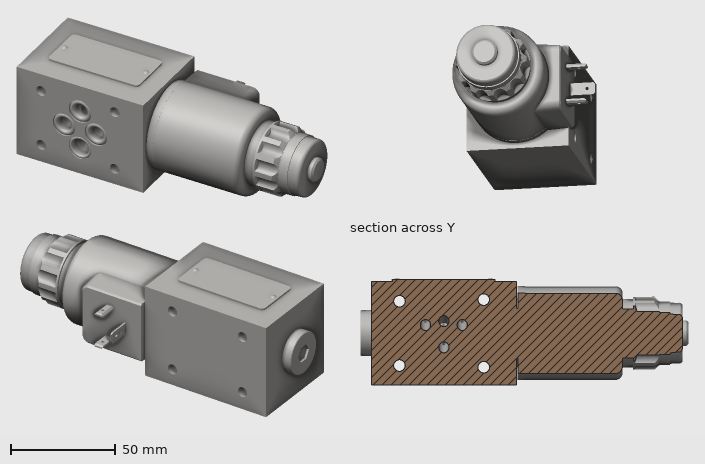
import cadquery as cq
import math


block_length = 69.8
block_side = 50.0
block_front = -block_side / 2
block_top = block_side / 2

mount_hole_dia = 5.4
mount_left_x = 13.5
mount_left_z = 15.5
mount_right_x = 54.0
mount_right_z = 16.2
port_x = block_length / 2
side_port_offset = 8.8
main_port_offset = 10.4
port_recess_dia = 12.3
side_bore_dia = 7.2
pressure_bore_dia = 7.0
tank_bore_dia = 9.0
seal_setback = 0.2
port_bore_depth = 4.7
feed_dia = 4.7
feed_length = 18.9
feed_tilt = 20
side_feed_offset = 0.8
pressure_feed_offset = 1.3
tank_feed_offset = 0.5

plug_dia = 22.0
plug_length = 5.0
plug_chamfer = 0.3
hex_across_flats = 8.0
hex_depth = 1.3

plate_margin = 10.0
plate_length = block_length - 2 * plate_margin
plate_width = 25.0
plate_thickness = 1.0
plate_corner = 2.0
rivet_dia = 3.0
rivet_height = 0.6
rivet_spacing = 44.9

coil_gap = 0.5
coil_start = block_length + coil_gap
spigot_dia = 33.1
collar_dia = 45.0
collar_length = 3.8
coil_dia = 44.9
coil_end = 120.9
coil_round = 3.3
neck_dia = 33.0
nut_start = 125.8
nut_end = 138.5
nut_dia = 35.0
nut_chamfer_length = 2.2
cap_dia = 30.5
cap_step_x = 143.5
cap_end_dia = 29.6
cap_round_dia = 29.2
cap_round_x = 147.7
cap_end = 149.7
cap_face_dia = 26.8
button_dia = 12.3
button_chamfer = 1.0
total_length = 157.6
button_end = total_length - plug_length

grip_count = 12
grip_radius = 3.8
grip_depth = 2.0
grip_floor = nut_dia / 2 - grip_depth
grip_lip = 1.0
grip_run_out = 1.1

base_end = 104.6
base_top = 27.9
base_width = 32.2
base_draft = 4
base_corner = 4.0
base_edge = 0.8
base_root = 7.9

blade_x = 79.5
blade_thickness = 1.0
blade_width = 6.0
blade_tip = 40.0
tip_bevel = 1.0
blade_hole_y = 36.1
dimple_y = 32.8
dimple_dia = 2.5
dimple_depth = 0.5
terminal_hole_dia = 1.5
pin_x = 88.4
pin_z = 7.9
pin_width = 4.7
pin_flat = 2.8
pin_thickness = 1.9
pin_tip = 37.7
pin_outer_bevel = 0.5
pin_inner_bevel = 0.6
pin_hole_y = 33.7


def turned(outline):
    """Turn an (x, radius) outline about the X axis."""
    return outline.close().revolve(360, (0, 0, 0), (1, 0, 0))


def make_block():
    block = cq.Workplane("XY").box(block_length, block_side, block_side, centered=(False, True, True))
    spots = [(mount_left_x, s * mount_left_z) for s in (1, -1)]
    spots += [(mount_right_x, s * mount_right_z) for s in (1, -1)]
    holes = (
        cq.Workplane("XZ", origin=(0, block_side / 2, 0))
        .pushPoints(spots)
        .circle(mount_hole_dia / 2)
        .extrude(block_side)
    )
    return block.cut(holes)


def port_cutter(x, z, bore_dia, feed_offset, tilt):
    """Space around a port's seal ring, its bore with a 90 degree drill point, and a feed hole.

    The feed hole starts feed_offset above the port's centre and is tilted towards +Z.
    """
    recess = port_recess_dia / 2
    bore = bore_dia / 2
    ring = (recess - bore) / 2
    ring_y = block_front + seal_setback + ring
    bore_y = block_front + port_bore_depth
    cavity = (
        cq.Workplane("XY")
        .moveTo(0, block_front)
        .lineTo(recess, block_front)
        .lineTo(recess, ring_y)
        .threePointArc((recess - ring, ring_y - ring), (bore, ring_y))
        .lineTo(bore, bore_y)
        .lineTo(0, bore_y + bore)
        .close()
        .revolve(360, (0, 0, 0), (0, 1, 0))
        .translate((x, 0, z))
    )
    direction = cq.Vector(0, math.cos(math.radians(tilt)), math.sin(math.radians(tilt)))
    feed = cq.Solid.makeCylinder(feed_dia / 2, feed_length, cq.Vector(x, bore_y, z + feed_offset), direction)
    return cavity.union(cq.Workplane(feed))


def make_plug():
    plug = (
        cq.Workplane("YZ", origin=(-plug_length, 0, 0))
        .circle(plug_dia / 2)
        .extrude(plug_length)
        .faces("<X")
        .chamfer(plug_chamfer)
    )
    socket = (
        cq.Workplane("YZ", origin=(-plug_length, 0, 0))
        .polygon(6, hex_across_flats / math.cos(math.pi / 6))
        .extrude(hex_depth)
    )
    return plug.cut(socket)


def make_nameplate():
    plate = (
        cq.Workplane("XY", origin=(block_length / 2, 0, block_top))
        .rect(plate_length, plate_width)
        .extrude(plate_thickness)
        .edges("|Z")
        .fillet(plate_corner)
    )
    sphere_radius = ((rivet_dia / 2) ** 2 + rivet_height**2) / (2 * rivet_height)
    plate_top = block_top + plate_thickness
    for side in (1, -1):
        head = (
            cq.Workplane("XZ")
            .lineTo(rivet_dia / 2, 0)
            .radiusArc((0, rivet_height), -sphere_radius)
            .close()
            .revolve(360, (0, 0, 0), (0, 1, 0))
            .translate((block_length / 2 + side * rivet_spacing / 2, 0, plate_top))
        )
        plate = plate.union(head)
    return plate


def make_solenoid_body():
    coil_r = coil_dia / 2
    diagonal = math.cos(math.pi / 4)
    round_length = cap_end - cap_round_x
    round_height = (cap_round_dia - cap_face_dia) / 2
    return turned(
        cq.Workplane("XY")
        .moveTo(block_length, 0)
        .lineTo(block_length, spigot_dia / 2)
        .lineTo(coil_start, spigot_dia / 2)
        .lineTo(coil_start, collar_dia / 2)
        .lineTo(coil_start + collar_length, collar_dia / 2)
        .lineTo(coil_start + collar_length, coil_r)
        .lineTo(coil_end - coil_round, coil_r)
        .radiusArc((coil_end, coil_r - coil_round), coil_round)
        .lineTo(coil_end, neck_dia / 2)
        .lineTo(nut_start, neck_dia / 2)
        .lineTo(nut_start, grip_floor)
        .lineTo(nut_end, grip_floor)
        .lineTo(nut_end, cap_dia / 2)
        .lineTo(cap_step_x, cap_dia / 2)
        .lineTo(cap_step_x, cap_end_dia / 2)
        .lineTo(cap_round_x, cap_round_dia / 2)
        .threePointArc(
            (cap_round_x + round_length * diagonal, cap_round_dia / 2 - round_height * (1 - diagonal)),
            (cap_end, cap_face_dia / 2),
        )
        .lineTo(cap_end, button_dia / 2)
        .lineTo(button_end - button_chamfer, button_dia / 2)
        .lineTo(button_end, button_dia / 2 - button_chamfer)
        .lineTo(button_end, 0)
    )


def make_nut():
    nut_r = nut_dia / 2
    nut = turned(
        cq.Workplane("XY")
        .moveTo(nut_start, 0)
        .lineTo(nut_start, nut_r)
        .lineTo(nut_end - nut_chamfer_length, nut_r)
        .lineTo(nut_end, cap_dia / 2)
        .lineTo(nut_end, 0)
    )
    groove_start = nut_start + grip_lip
    groove = (
        cq.Workplane("YZ", origin=(groove_start, 0, 0))
        .center(grip_floor + grip_radius, 0)
        .circle(grip_radius)
        .extrude(nut_end - groove_start)
    )
    slope = (
        cq.Workplane("XY")
        .moveTo(groove_start, grip_floor)
        .lineTo(groove_start + grip_run_out, grip_floor)
        .lineTo(groove_start, nut_r)
        .close()
        .extrude(grip_radius, both=True)
    )
    groove = groove.cut(slope)
    pitch = 360 / grip_count
    for i in range(grip_count):
        nut = nut.cut(groove.rotate((0, 0, 0), (1, 0, 0), (i + 0.5) * pitch))
    return nut


def make_connector_base():
    """Drafted box, widening towards the coil, with a straight end beside the block."""
    height = base_top - base_root
    spread = height * math.tan(math.radians(base_draft))
    half_length = base_end - coil_start + spread
    half_width = base_width / 2 + spread
    box = (
        cq.Workplane("XZ", origin=(coil_start, base_root, 0))
        .rect(2 * half_length, 2 * half_width)
        .extrude(-height, taper=base_draft)
        .edges("not #Y")
        .fillet(base_corner)
        .faces(">Y")
        .chamfer(base_edge)
    )
    right_half = (
        cq.Workplane("YZ", origin=(coil_start, base_root, 0))
        .rect(2 * height, 2 * half_width)
        .extrude(half_length)
    )
    return box.intersect(right_half)


def make_blade():
    """Flat terminal across the X axis with a bevelled tip, a hole and a conical dimple."""
    half = blade_width / 2
    shoulder = blade_tip - tip_bevel
    left = blade_x - blade_thickness / 2
    blade = (
        cq.Workplane("YZ", origin=(left, 0, 0))
        .moveTo(base_root, -half)
        .lineTo(shoulder, -half)
        .lineTo(blade_tip, tip_bevel - half)
        .lineTo(blade_tip, half - tip_bevel)
        .lineTo(shoulder, half)
        .lineTo(base_root, half)
        .close()
        .extrude(blade_thickness)
    )
    bevel = (
        cq.Workplane("XY")
        .moveTo(left, shoulder)
        .lineTo(blade_x, blade_tip)
        .lineTo(left, blade_tip)
        .close()
        .extrude(half, both=True)
    )
    hole = (
        cq.Workplane("YZ", origin=(left, 0, 0))
        .center(blade_hole_y, 0)
        .circle(terminal_hole_dia / 2)
        .extrude(blade_thickness)
    )
    dimple = cq.Solid.makeCone(
        dimple_dia / 2, 0, dimple_depth, cq.Vector(left, dimple_y, 0), cq.Vector(1, 0, 0)
    )
    return blade.cut(bevel).cut(hole).cut(cq.Workplane(dimple))


def make_pin():
    """Upper flat pin: bevelled along the long edges of its outer face and at its tip."""
    half = pin_width / 2
    mid = pin_thickness / 2
    pin = (
        cq.Workplane("XZ", origin=(pin_x, pin_tip, pin_z))
        .moveTo(-half, 0)
        .lineTo(half, 0)
        .lineTo(half, mid)
        .lineTo(pin_flat / 2, pin_thickness)
        .lineTo(-pin_flat / 2, pin_thickness)
        .lineTo(-half, mid)
        .close()
        .extrude(pin_tip - base_root)
    )
    bevels = (
        cq.Workplane("YZ", origin=(pin_x, pin_tip, pin_z))
        .moveTo(0, pin_thickness - pin_outer_bevel)
        .lineTo(0, pin_thickness)
        .lineTo(-tip_bevel, pin_thickness)
        .close()
        .moveTo(0, pin_inner_bevel)
        .lineTo(0, 0)
        .lineTo(-tip_bevel, 0)
        .close()
        .extrude(half, both=True)
    )
    hole = (
        cq.Workplane("XY", origin=(pin_x, pin_hole_y, pin_z))
        .circle(terminal_hole_dia / 2)
        .extrude(pin_thickness)
    )
    return pin.cut(bevels).cut(hole)


block = make_block()
ports = (
    (port_x - side_port_offset, 0, side_bore_dia, side_feed_offset, feed_tilt),
    (port_x + side_port_offset, 0, side_bore_dia, side_feed_offset, feed_tilt),
    (port_x, main_port_offset, pressure_bore_dia, -pressure_feed_offset, -feed_tilt),
    (port_x, -main_port_offset, tank_bore_dia, tank_feed_offset, feed_tilt),
)
for port in ports:
    block = block.cut(port_cutter(*port))

pin = make_pin()
result = (
    block.union(make_plug())
    .union(make_nameplate())
    .union(make_solenoid_body())
    .union(make_nut())
    .union(make_connector_base())
    .union(make_blade())
    .union(pin)
    .union(pin.mirror("XY"))
)